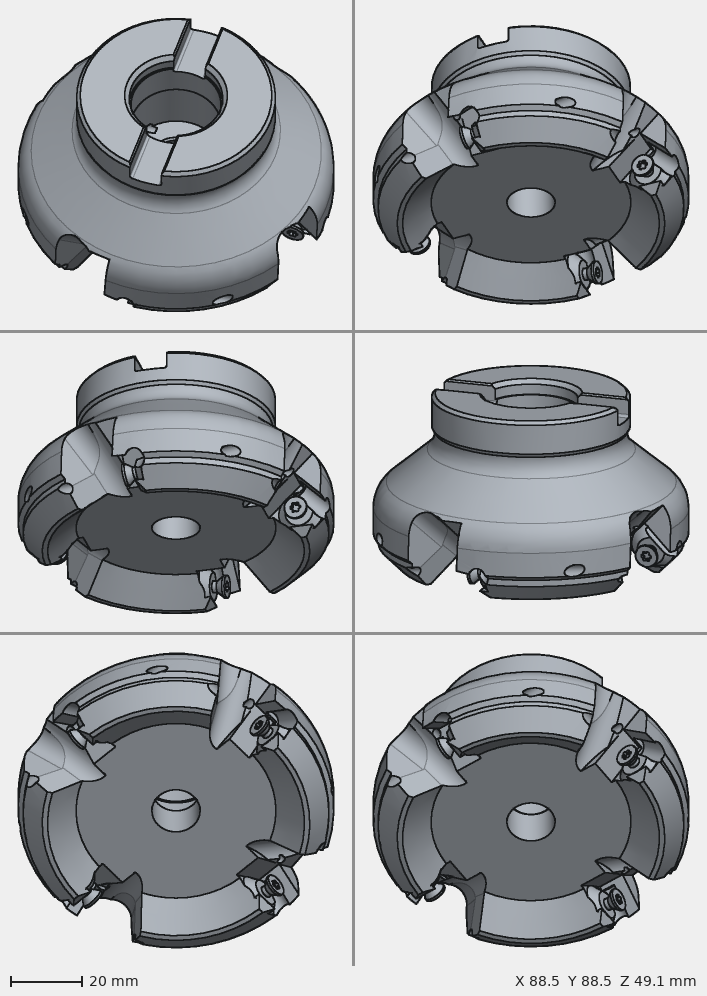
import cadquery as cq
import math


height = 49.05
outer_radius = 44.24
face_radius = 37.5
band_radius = 42.85
band_bottom = band_radius - face_radius
band_top = 7.2
side_bottom = 8.4
side_top = 15.6
shoulder_radius = 10.0
shoulder_angle = math.radians(50)
cone_top = 32.9
cone_top_radius = 29.2
neck_top = 38.5
neck_radius = 27.2
collar_bottom = 39.6
collar_radius = 27.85
collar_chamfer = 1.0

bore_radius = 12.6
bore_clearance = 0.5
bore_chamfer = 1.3
guide_top = 44.8
guide_bottom = 35.3
bore_floor = 20.0
bolt_hole_radius = 6.75
bolt_hole_chamfer = 0.6
recess_radius = 36.0
recess_top_radius = 28.0
recess_depth = 7.3
slot_width = 9.3
slot_floor = 43.5
slot_corner_radius = 0.8
slot_edge_chamfer = 0.5

flute_count = 4
far = 100.0
wall_x = -6.5
wall_height = 16.0
wall_lean = math.radians(3)
gullet_radius = 5.1
upper_start = cq.Vector(-22.3, -37.2, 19.7)
upper_direction = cq.Vector(0.52, 0.60, -0.73)
upper_side_normal = cq.Vector(0.735, -0.674, -0.05)
lower_start = cq.Vector(-15.9, -30.0, 11.8)
lower_direction = cq.Vector(0.37, 0.70, -0.65)
lower_side_normal = cq.Vector(1.3, -1, -0.28)
floor_edge_angle = math.radians(31)
floor_slope = math.radians(26)
floor_width = 25.0

screw_tilt = math.radians(6.6)
screw_radial = 36.0
screw_height = 6.35
screw_face_x = -5.2
screw_head_radius = 3.2
screw_rim = 0.7
screw_cone = 2.0
screw_shank_radius = 1.7
screw_length = 16.0
socket_radius = 1.5
socket_lobe_radius = 0.45
socket_lobes = 6
socket_depth = 1.2
seat_floor_x = 1.2
seat_corner = (35.9, 16.6)
seat_inner_length = 14.5
seat_outer_length = 30.0
seat_overrun = 1.0
pad_radius = 4.0
sill_height = 2.4
pad_height = 3.5
pad_start = 4.0
relief_radius = 2.8
relief_x = -0.5
coolant_radius = 1.2
coolant_inlet = (-7.5, -8.5, bore_floor + 0.6)
coolant_outlet = (-8.0, -39.0, 15.3)


def half_space(point, normal):
    """Block filling the side of a plane that its normal points to."""
    plane = cq.Plane(origin=point, normal=normal)
    return cq.Workplane(plane).rect(2 * far, 2 * far).extrude(far)


def cylinder_along(start, direction, radius, length):
    """Cylinder with the given start centre, axis direction, radius and length."""
    return cq.Workplane(obj=cq.Solid.makeCylinder(radius, length, cq.Vector(start), cq.Vector(direction)))


def around_axis(shape, index):
    """Copy of a flute feature turned to the flute with this index."""
    return shape.rotate((0, 0, 0), (0, 0, 1), index * 360 / flute_count)


def make_blank():
    """Turned outside of the cutter."""
    centre_r = outer_radius - shoulder_radius

    def shoulder_point(angle):
        return (
            centre_r + shoulder_radius * math.cos(angle),
            side_top + shoulder_radius * math.sin(angle),
        )

    return (
        cq.Workplane("XZ")
        .moveTo(0, 0)
        .lineTo(face_radius, 0)
        .lineTo(band_radius, band_bottom)
        .lineTo(band_radius, band_top)
        .lineTo(outer_radius, side_bottom)
        .lineTo(outer_radius, side_top)
        .threePointArc(shoulder_point(shoulder_angle / 2), shoulder_point(shoulder_angle))
        .lineTo(cone_top_radius, cone_top)
        .tangentArcPoint((neck_radius, neck_top), relative=False)
        .lineTo(collar_radius, collar_bottom)
        .lineTo(collar_radius, height - collar_chamfer)
        .lineTo(collar_radius - collar_chamfer, height)
        .lineTo(0, height)
        .close()
        .revolve(360, (0, 0, 0), (0, 1, 0))
    )


def make_bore():
    """Stepped arbor bore, the bolt hole below it and the recess in the cutting end."""
    clear_radius = bore_radius + bore_clearance
    return (
        cq.Workplane("XZ")
        .polyline([
            (0, 0),
            (recess_radius, 0),
            (recess_top_radius, recess_depth),
            (bolt_hole_radius, recess_depth),
            (bolt_hole_radius, bore_floor - bolt_hole_chamfer),
            (bolt_hole_radius + bolt_hole_chamfer, bore_floor),
            (clear_radius, bore_floor),
            (clear_radius, guide_bottom),
            (bore_radius, guide_bottom),
            (bore_radius, guide_top),
            (clear_radius, guide_top),
            (clear_radius, height - bore_chamfer),
            (clear_radius + bore_chamfer, height),
            (0, height),
        ])
        .close()
        .revolve(360, (0, 0, 0), (0, 1, 0))
    )


def make_slot():
    """Driving slot across the collar along Y, with rounded floor corners and chamfered top edges."""
    depth = height - slot_floor
    channel = (
        cq.Workplane("XY")
        .box(slot_width, far, depth, centered=(True, True, False))
        .edges("|Y and <Z")
        .fillet(slot_corner_radius)
        .translate((0, 0, slot_floor))
    )
    half = slot_width / 2
    edge_chamfers = (
        cq.Workplane("XZ")
        .polyline([
            (-half - slot_edge_chamfer, height),
            (-half, height - slot_edge_chamfer),
            (half, height - slot_edge_chamfer),
            (half + slot_edge_chamfer, height),
        ])
        .close()
        .extrude(far / 2, both=True)
    )
    return channel.union(edge_chamfers)


def make_gullet(start, direction, side_normal):
    """Slanted channel: flat flute side, round bottom and a flat floor towards the chip wall."""
    direction = direction.normalized()
    across = side_normal - direction * side_normal.dot(direction)
    floor_edge = (
        gullet_radius * (1 + math.sin(floor_edge_angle)),
        -gullet_radius * math.cos(floor_edge_angle),
    )
    floor_end = (
        floor_edge[0] + floor_width * math.cos(floor_slope),
        floor_edge[1] - floor_width * math.sin(floor_slope),
    )
    return (
        cq.Workplane(cq.Plane(origin=start, xDir=across, normal=direction))
        .moveTo(0, 0)
        .threePointArc((gullet_radius, -gullet_radius), floor_edge)
        .lineTo(*floor_end)
        .lineTo(floor_end[0], far / 2)
        .lineTo(0, far / 2)
        .close()
        .extrude(far / 2, both=True)
    )


def make_flute():
    """Chip space: two gullets ending at the leaning chip wall."""
    upper = make_gullet(upper_start, upper_direction, upper_side_normal)
    lower = make_gullet(lower_start, lower_direction, lower_side_normal)
    wall = half_space((wall_x, -outer_radius, wall_height), (-math.cos(wall_lean), 0, math.sin(wall_lean)))
    return upper.union(lower).intersect(wall)


screw_axis = cq.Vector(math.cos(screw_tilt), 0, math.sin(screw_tilt))
screw_face = cq.Vector(screw_face_x, -screw_radial, screw_height)
screw_plane = cq.Plane(origin=screw_face, xDir=(0, 1, 0), normal=screw_axis)


def make_seat():
    """Square insert pocket set at 45 degrees, with a conical pad and a sloping sill left on its floor."""
    corner_r, corner_z = seat_corner
    diagonal = math.sqrt(0.5)
    inner = seat_inner_length * diagonal
    outer = seat_outer_length * diagonal
    plane = cq.Plane(origin=(seat_floor_x, 0, 0), xDir=(0, -1, 0), normal=(-1, 0, 0))
    pocket = (
        cq.Workplane(plane)
        .polyline([
            (corner_r, corner_z),
            (corner_r + outer, corner_z - outer),
            (corner_r + outer - inner, corner_z - outer - inner),
            (corner_r - inner, corner_z - inner),
        ])
        .close()
        .extrude(seat_floor_x - wall_x + seat_overrun)
    )
    pad_face = screw_face + screw_axis * pad_start
    pad = cq.Workplane(
        obj=cq.Solid.makeCone(pad_radius, pad_radius + pad_height, pad_height, pad_face, screw_axis)
    )
    sill = half_space((seat_floor_x, 0, 0), (1, 0, 1))
    sill = sill.intersect(half_space((0, 0, sill_height), (0, 0, -1)))
    relief_start = (relief_x, -corner_r, corner_z - relief_radius * diagonal)
    relief = cylinder_along(relief_start, (0, -1, -1), relief_radius, seat_outer_length)
    return pocket.cut(pad).cut(sill).union(relief)


def make_screw_hole():
    """Straight hole along the screw axis, open on both sides of the flute."""
    return cylinder_along(screw_face - screw_axis * (far / 4), screw_axis, screw_shank_radius, far)


def make_coolant_hole():
    """Drilled passage from the bore floor to the gullet."""
    start = cq.Vector(coolant_inlet)
    run = cq.Vector(coolant_outlet) - start
    return cylinder_along(start, run, coolant_radius, run.Length)


def make_screw():
    """Countersunk insert screw with a six-lobed socket."""
    cone_end = screw_rim + screw_cone
    profile = (
        cq.Workplane("XZ")
        .polyline([
            (0, 0),
            (screw_head_radius, 0),
            (screw_head_radius, screw_rim),
            (screw_shank_radius, cone_end),
            (screw_shank_radius, screw_length),
            (0, screw_length),
        ])
        .close()
        .revolve(360, (0, 0, 0), (0, 1, 0))
    )
    lobes = (
        cq.Workplane("XY")
        .polarArray(socket_radius - socket_lobe_radius, 0, 360, socket_lobes)
        .circle(socket_lobe_radius)
        .extrude(socket_depth)
    )
    core = cq.Workplane("XY").circle(socket_radius - socket_lobe_radius).extrude(socket_depth)
    screw = profile.cut(core.union(lobes))
    return cq.Workplane(obj=screw.val().moved(cq.Location(screw_plane)))


cutter = make_blank().cut(make_bore()).cut(make_slot())
flute_cuts = [make_flute(), make_seat(), make_screw_hole(), make_coolant_hole()]
for index in range(flute_count):
    for cut in flute_cuts:
        cutter = cutter.cut(around_axis(cut, index))

screw = make_screw()
screws = [around_axis(screw, index) for index in range(flute_count)]

result = cq.Compound.makeCompound([cutter.val(), *[copy.val() for copy in screws]])